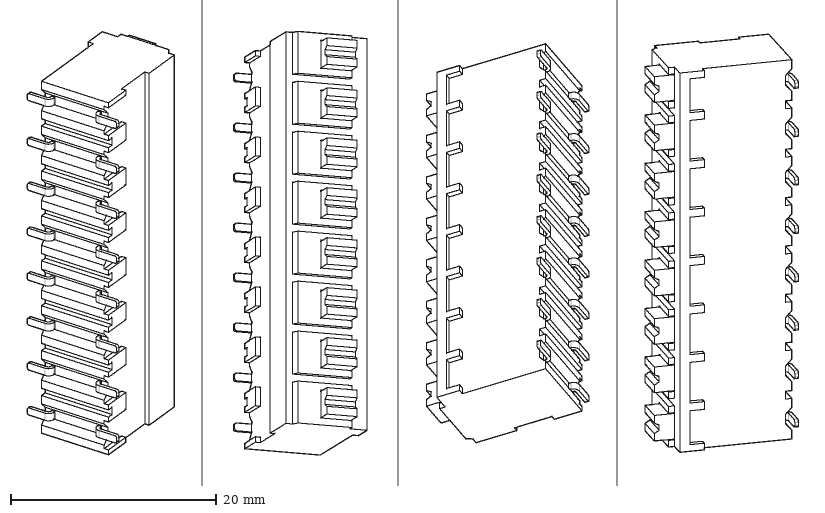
import cadquery as cq


POLES = 8
PITCH = 5.0
CELL_HEIGHT = 4.2
CELL_GAP = PITCH - CELL_HEIGHT
LENGTH = (POLES - 1) * PITCH + CELL_HEIGHT

HOUSING_LEFT = -3.7
HOUSING_RIGHT = 4.15
HOUSING_FRONT = 0.2
HOUSING_BACK = 11.8

RAIL_LEFT = -4.3
RAIL_FRONT = 10.75
FINGER_FRONT = 9.3
END_FINGER_HEIGHT = 0.7

RECESS_X = 3.65
RECESS_FRONT = 3.25
RECESS_BACK = 7.35
WINDOW_HEIGHT = 3.1

GROOVE_FLOOR = 0.85
GROOVE_FLOOR_HEIGHT = 1.0
GROOVE_MOUTH_HEIGHT = 2.36

CROWN_LEFT = -2.5
CROWN_RIGHT = 3.45
CROWN_BEVEL = 0.35
CROWN_BACK = 12.4

BUTTON_RIGHT = 0.65
BUTTON_BACK = 13.85
BUTTON_HEIGHT = 2.65
BUTTON_CLEARANCE = 0.08
NOTCH_DEPTH = 0.5
NOTCH_MOUTH_HEIGHT = 1.1
NOTCH_FLOOR_HEIGHT = 0.5

LEAD_SPAN = 10.5
LEAD_HEIGHT = 0.8
LEAD_THICKNESS = 0.38
LEAD_INNER = 2.53
LEAD_BEND_RADIUS = 0.62
LEAD_INNER_BEND_RADIUS = LEAD_BEND_RADIUS - LEAD_THICKNESS
LEAD_TIP_RADIUS = 0.25
LEAD_EMBEDMENT = 0.5
LEAD_ROOT = GROOVE_FLOOR + LEAD_EMBEDMENT

cell_heights = [(i - (POLES - 1) / 2) * PITCH for i in range(POLES)]
gap_heights = [z + PITCH / 2 for z in cell_heights[:-1]]


def block(x0, x1, y0, y1, height, z=0.0):
    """Box between two X and two Y limits, centred on z."""
    box = cq.Workplane("XY").box(x1 - x0, y1 - y0, height)
    return box.translate(((x0 + x1) / 2, (y0 + y1) / 2, z))


def trapezoid_bar(x0, x1, mouth_y, floor_y, mouth_height, floor_height, z):
    """Bar along X whose section narrows from mouth_y to floor_y."""
    return (
        cq.Workplane("YZ", origin=(x0, 0, z))
        .moveTo(mouth_y, -mouth_height / 2)
        .lineTo(mouth_y, mouth_height / 2)
        .lineTo(floor_y, floor_height / 2)
        .lineTo(floor_y, -floor_height / 2)
        .close()
        .extrude(x1 - x0)
    )


def housing():
    body = block(HOUSING_LEFT, HOUSING_RIGHT, HOUSING_FRONT, HOUSING_BACK, LENGTH)
    recess = block(RECESS_X, HOUSING_RIGHT, RECESS_FRONT, RECESS_BACK, LENGTH)
    body = body.cut(recess)
    for z in cell_heights:
        window = block(RECESS_X, HOUSING_RIGHT, HOUSING_FRONT, RECESS_FRONT, WINDOW_HEIGHT, z)
        groove = trapezoid_bar(
            HOUSING_LEFT, HOUSING_RIGHT, HOUSING_FRONT, GROOVE_FLOOR,
            GROOVE_MOUTH_HEIGHT, GROOVE_FLOOR_HEIGHT, z,
        )
        body = body.cut(window).cut(groove)
    for z in gap_heights:
        body = body.cut(
            block(HOUSING_LEFT, HOUSING_RIGHT, HOUSING_FRONT, GROOVE_FLOOR, CELL_GAP, z)
        )
    return body


def side_rail():
    rail = block(RAIL_LEFT, HOUSING_LEFT, RAIL_FRONT, HOUSING_BACK, LENGTH)
    fingers = [(z, CELL_GAP) for z in gap_heights]
    end_finger_z = (LENGTH - END_FINGER_HEIGHT) / 2
    fingers += [(-end_finger_z, END_FINGER_HEIGHT), (end_finger_z, END_FINGER_HEIGHT)]
    for z, height in fingers:
        rail = rail.union(block(RAIL_LEFT, HOUSING_LEFT, FINGER_FRONT, RAIL_FRONT, height, z))
    return rail


def crown(z):
    """Raised back of a cell, bevelled on the right and slotted for the button."""
    raised = (
        cq.Workplane("XY", origin=(0, 0, z - CELL_HEIGHT / 2))
        .moveTo(CROWN_LEFT, HOUSING_BACK)
        .lineTo(CROWN_RIGHT, HOUSING_BACK)
        .lineTo(CROWN_RIGHT - CROWN_BEVEL, CROWN_BACK)
        .lineTo(CROWN_LEFT, CROWN_BACK)
        .close()
        .extrude(CELL_HEIGHT)
    )
    slot = block(
        CROWN_LEFT, BUTTON_RIGHT + BUTTON_CLEARANCE, HOUSING_BACK, CROWN_BACK,
        BUTTON_HEIGHT + 2 * BUTTON_CLEARANCE, z,
    )
    return raised.cut(slot)


def button(z):
    """Push button with a tapered screwdriver notch across its end."""
    body = block(CROWN_LEFT, BUTTON_RIGHT, HOUSING_BACK, BUTTON_BACK, BUTTON_HEIGHT, z)
    notch = trapezoid_bar(
        CROWN_LEFT, BUTTON_RIGHT, BUTTON_BACK, BUTTON_BACK - NOTCH_DEPTH,
        NOTCH_MOUTH_HEIGHT, NOTCH_FLOOR_HEIGHT, z,
    )
    return body.cut(notch)


def lead(z):
    """Right-hand lead: a strip leaving the groove floor and bent outward."""
    tip = LEAD_SPAN / 2
    leg_outer = LEAD_INNER + LEAD_THICKNESS
    strip = (
        cq.Workplane("XY", origin=(0, 0, z - LEAD_HEIGHT / 2))
        .moveTo(LEAD_INNER, LEAD_ROOT)
        .lineTo(LEAD_INNER, LEAD_BEND_RADIUS)
        .radiusArc((LEAD_INNER + LEAD_BEND_RADIUS, 0), -LEAD_BEND_RADIUS)
        .lineTo(tip, 0)
        .lineTo(tip, LEAD_THICKNESS)
        .lineTo(leg_outer + LEAD_INNER_BEND_RADIUS, LEAD_THICKNESS)
        .radiusArc((leg_outer, LEAD_BEND_RADIUS), LEAD_INNER_BEND_RADIUS)
        .lineTo(leg_outer, LEAD_ROOT)
        .close()
        .extrude(LEAD_HEIGHT)
    )
    return strip.faces(">X").edges("|Y").fillet(LEAD_TIP_RADIUS)


result = housing().union(side_rail())
for z in cell_heights:
    result = result.union(crown(z)).union(button(z))
    right_lead = lead(z)
    result = result.union(right_lead).union(right_lead.mirror("YZ"))